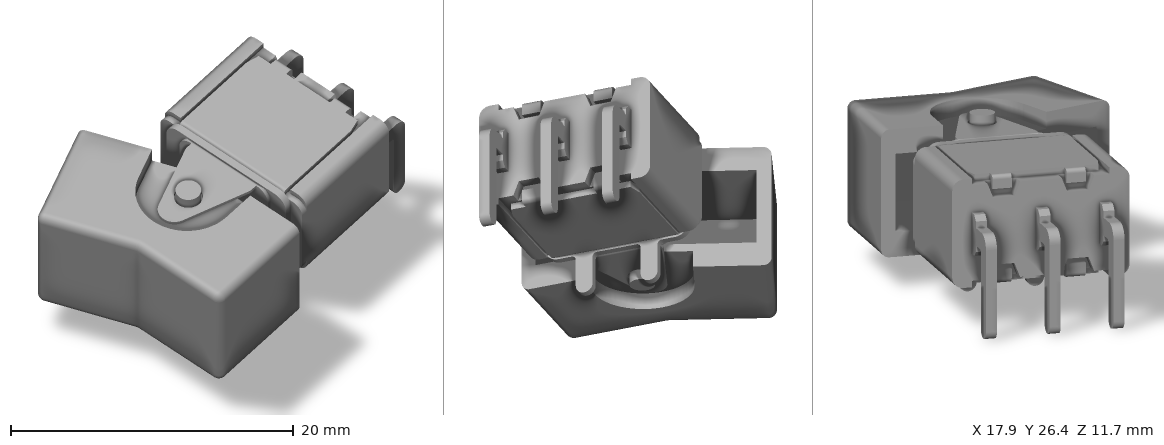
import cadquery as cq
import math


case_width = 13.15
case_half_height = 3.98
case_corner_radius = 0.82
case_back = 14.22
case_front = 5.17
recess_width = 10.18

terminal_pitch = 4.72
terminal_width = 0.82
terminal_back = 17.67
terminal_leg_width = 1.25
terminal_arm_height = 1.3
terminal_outer_bend = 1.0
terminal_inner_bend = 0.18
terminal_shoulder_height = 3.03
terminal_shoulder_length = 1.03
terminal_shoulder_chamfer = 0.4

cover_thickness = 0.47
cover_width = 9.7
cover_back = 13.1
cover_back_width = 9.18
cover_taper_length = 1.03
cover_bend_radius = 0.4
cover_front = case_front - cover_thickness
cover_wing_height = 7.05

clip_offset = 2.75
clip_width = 1.42
clip_back = 13.8
clip_bend_radius = 0.32
clip_height = 1.0
notch_front = 13.32
notch_depth = 1.05
notch_floor_width = 1.55
notch_mouth_width = 2.4

plate_thickness = 0.55
plate_width = 11.08
plate_corner_radius = 1.05
plate_front = cover_front - plate_thickness
leg_pitch = 4.99
leg_width = 1.3
leg_bottom = -7.02
leg_root_radius = 0.32

bracket_thickness = 0.26
bracket_width = 8.23
bracket_front = plate_front - bracket_thickness
ear_width = 6.01
bracket_corner_radius = (bracket_width - ear_width) / 2
ear_taper_start = 3.27
ear_taper_angle = math.radians(20)
ear_shoulder_radius = 0.8
ear_tip_radius = 1.2
pivot_hole_radius = 1.03

rocker_half_height = 4.7
rocker_angle = math.radians(20)
rocker_kink_x = 0.55
rocker_kink_y = -6.25
lobe_length = 7.68
lobe_depth = 8.7
rocker_edge_radius = 0.6
rocker_kink_radius = 0.8
rocker_wall = 1.05
rocker_cavity_height = 5.75
ear_pocket_radius = 3.67
ear_pocket_centre_y = -0.13
ear_pocket_floor = 3.45
pivot_pin_radius = 0.91


def block(width, y_front, y_back, z_bottom, z_top, x_centre=0):
    """Box centred on x_centre that spans the given Y and Z limits."""
    return cq.Workplane("XY").box(
        width, y_back - y_front, z_top - z_bottom, centered=(True, False, False)
    ).translate((x_centre, y_front, z_bottom))


def rounded_slab(width, height, corner_radius, y_front, y_back):
    """Plate in the XZ plane, centred on the Y axis, with rounded corners."""
    slab = block(width, y_front, y_back, -height / 2, height / 2)
    return slab.edges("|Y").fillet(corner_radius)


def with_mirror(shape):
    """The shape joined to its mirror image below the plane Z = 0."""
    return shape.union(shape.mirror("XY"))



def make_clip_notch(x_centre):
    """Notch with sloping sides, open at the back of the case, below the cover recess."""
    mouth_z = case_half_height - cover_thickness
    return (
        cq.Workplane("XZ", origin=(x_centre, case_back, 0))
        .moveTo(-notch_mouth_width / 2, mouth_z)
        .lineTo(notch_mouth_width / 2, mouth_z)
        .lineTo(notch_floor_width / 2, mouth_z - notch_depth)
        .lineTo(-notch_floor_width / 2, mouth_z - notch_depth)
        .close()
        .extrude(case_back - notch_front)
    )


def make_terminal(x_centre):
    """Right-angle terminal: chamfered shoulder, arm to the back and leg pointing down."""
    leg_front = terminal_back - terminal_leg_width
    arm_half = terminal_arm_height / 2
    arm = block(terminal_width, case_back, terminal_back, -arm_half, arm_half, x_centre)
    leg = block(terminal_width, leg_front, terminal_back, leg_bottom, arm_half, x_centre)
    leg_end_radius = 0.499 * terminal_leg_width
    bent_strip = (
        arm.union(leg)
        .edges("|X and >Y and >Z").fillet(terminal_outer_bend)
        .edges(cq.selectors.NearestToPointSelector((x_centre, leg_front, -arm_half)))
        .fillet(terminal_inner_bend)
        .edges("|X and <Z").fillet(leg_end_radius)
    )
    shoulder = block(
        terminal_width,
        case_back,
        case_back + terminal_shoulder_length,
        -terminal_shoulder_height / 2,
        terminal_shoulder_height / 2,
        x_centre,
    ).edges("|X and >Y").chamfer(terminal_shoulder_chamfer)
    return bent_strip.union(shoulder)


def make_case():
    case = rounded_slab(
        case_width, 2 * case_half_height, case_corner_radius, case_front, case_back
    )
    recess_floor = case_half_height - cover_thickness
    recess = block(recess_width, case_front, case_back, recess_floor, case_half_height)
    case = case.cut(with_mirror(recess))
    for side in (-1, 1):
        case = case.cut(with_mirror(make_clip_notch(side * clip_offset)))
    for place in (-1, 0, 1):
        case = case.union(make_terminal(place * terminal_pitch))
    return case



def make_cover_clip(x_centre):
    """Tab that runs to the back and bends down into its notch."""
    sheet_bottom = case_half_height - cover_thickness
    clip_end = case_half_height - clip_height
    return (
        block(clip_width, cover_back, clip_back, sheet_bottom, case_half_height, x_centre)
        .union(block(
            clip_width, clip_back - cover_thickness, clip_back, clip_end, case_half_height, x_centre
        ))
        .edges("|X and >Y and >Z").fillet(clip_bend_radius)
    )


def make_cover_sheet():
    """Top sheet of the cover, narrowed at its back end."""
    taper_start = cover_back - cover_taper_length
    return (
        cq.Workplane("XY", origin=(0, 0, case_half_height - cover_thickness))
        .moveTo(-cover_width / 2, cover_front)
        .lineTo(cover_width / 2, cover_front)
        .lineTo(cover_width / 2, taper_start)
        .lineTo(cover_back_width / 2, cover_back)
        .lineTo(-cover_back_width / 2, cover_back)
        .lineTo(-cover_width / 2, taper_start)
        .close()
        .extrude(cover_thickness)
    )


def make_cover():
    front_strip = block(
        cover_width, cover_front, case_front, -case_half_height, case_half_height
    )
    cover = (
        with_mirror(make_cover_sheet())
        .union(front_strip)
        .edges("|X and <Y").fillet(cover_bend_radius)
    )
    wings = rounded_slab(
        case_width, cover_wing_height, case_corner_radius, cover_front, case_front
    )
    cover = cover.union(wings)
    for side in (-1, 1):
        cover = cover.union(with_mirror(make_cover_clip(side * clip_offset)))
    return cover



def make_leg_outline(x_centre):
    """Leg with a round end and concave fillets where it leaves the plate."""
    half = leg_width / 2
    root_z = -case_half_height
    end_centre_z = leg_bottom + half
    bulge = leg_root_radius * (1 - math.sqrt(0.5))
    return (
        cq.Workplane("XZ", origin=(x_centre, cover_front, 0))
        .moveTo(-half - leg_root_radius, root_z)
        .threePointArc((-half - bulge, root_z - bulge), (-half, root_z - leg_root_radius))
        .lineTo(-half, end_centre_z)
        .threePointArc((0, leg_bottom), (half, end_centre_z))
        .lineTo(half, root_z - leg_root_radius)
        .threePointArc((half + bulge, root_z - bulge), (half + leg_root_radius, root_z))
        .close()
    )


def make_mounting_plate():
    plate = rounded_slab(
        plate_width, 2 * case_half_height, plate_corner_radius, plate_front, cover_front
    )
    for side in (-1, 1):
        plate = plate.union(make_leg_outline(side * leg_pitch / 2).extrude(plate_thickness))
    return plate



def make_ear():
    """Upper ear: straight root, sides tapering to a round tip, hole on the pivot axis."""
    half = ear_width / 2
    apex_y = ear_taper_start - half / math.tan(ear_taper_angle)
    return (
        cq.Workplane("XY", origin=(0, 0, case_half_height - bracket_thickness))
        .moveTo(-half, plate_front)
        .lineTo(-half, ear_taper_start)
        .lineTo(0, apex_y)
        .lineTo(half, ear_taper_start)
        .lineTo(half, plate_front)
        .close()
        .extrude(bracket_thickness)
        .edges("|Z and <Y").fillet(ear_tip_radius)
        .edges(cq.selectors.BoxSelector(
            (-half - 0.26, ear_taper_start - 0.26, 0),
            (half + 0.26, ear_taper_start + 0.26, case_half_height),
        ))
        .edges("|Z").fillet(ear_shoulder_radius)
        .cut(cq.Workplane("XY").circle(pivot_hole_radius).extrude(case_half_height))
    )


def make_bracket():
    plate = rounded_slab(
        bracket_width, 2 * case_half_height, bracket_corner_radius, bracket_front, plate_front
    )
    ears = with_mirror(make_ear())
    return plate.union(ears).cut(with_mirror(make_bend_relief()))


def make_bend_relief():
    """Corner left over outside the bend between the plate and an ear."""
    r = bracket_thickness
    corner = block(bracket_width, bracket_front, plate_front, case_half_height - r, case_half_height)
    bend = (
        cq.Workplane("YZ", origin=(-bracket_width / 2, bracket_front, case_half_height - r))
        .circle(r)
        .extrude(bracket_width)
    )
    return corner.cut(bend)



def make_rocker_prism(end_inset, floor_inset, depth, height):
    """Two-lobe prism; insets move its ends and its kinked floor inward."""
    half_tangent = math.tan(rocker_angle / 2)
    kink = cq.Vector(rocker_kink_x - floor_inset * half_tangent, rocker_kink_y + floor_inset)
    length = lobe_length - end_inset + floor_inset * half_tangent
    right_along = cq.Vector(length, 0)
    right_back = cq.Vector(0, depth)
    left_along = cq.Vector(-math.cos(rocker_angle), -math.sin(rocker_angle)) * length
    left_back = cq.Vector(-math.sin(rocker_angle), math.cos(rocker_angle)) * depth
    ridge = kink + cq.Vector(-depth * half_tangent, depth)
    corners = [
        kink,
        kink + right_along,
        kink + right_along + right_back,
        ridge,
        kink + left_along + left_back,
        kink + left_along,
    ]
    outline = [(corner.x, corner.y) for corner in corners]
    return cq.Workplane("XY").polyline(outline).close().extrude(height / 2, both=True)


def make_ear_pocket():
    """Pocket in the top face that leaves an ear room to swing, open at the back."""
    r = ear_pocket_radius
    reach = lobe_depth
    left = (-r * math.cos(rocker_angle), -r * math.sin(rocker_angle))
    left_end = (
        left[0] - reach * math.sin(rocker_angle),
        left[1] + reach * math.cos(rocker_angle),
    )
    return (
        cq.Workplane("XY", origin=(0, ear_pocket_centre_y, ear_pocket_floor))
        .moveTo(r, reach)
        .lineTo(r, 0)
        .threePointArc((0, -r), left)
        .lineTo(*left_end)
        .close()
        .extrude(rocker_half_height - ear_pocket_floor)
    )


def make_pivot_pin():
    return (
        cq.Workplane("XY", origin=(0, 0, ear_pocket_floor))
        .circle(pivot_pin_radius)
        .extrude(rocker_half_height - ear_pocket_floor)
    )


def make_rocker():
    height = 2 * rocker_half_height
    margin = 2 * rocker_edge_radius
    deep_block = make_rocker_prism(0, 0, lobe_depth + margin, height)
    kink_edge = cq.selectors.NearestToPointSelector((rocker_kink_x, rocker_kink_y, 0))
    rocker = deep_block.edges(kink_edge).fillet(rocker_kink_radius)
    rocker = rocker.edges("|Z and (>X or <Y)").fillet(rocker_edge_radius)
    rocker = rocker.faces("<Z or >Z").edges().fillet(rocker_edge_radius)
    rocker = rocker.intersect(
        make_rocker_prism(-margin, -margin, lobe_depth + margin, height)
    )
    cavity = make_rocker_prism(
        rocker_wall, rocker_wall, lobe_depth - rocker_wall, rocker_cavity_height
    )
    return (
        rocker.cut(cavity)
        .cut(with_mirror(make_ear_pocket()))
        .union(with_mirror(make_pivot_pin()))
    )


case = make_case()
cover = make_cover()
mounting_plate = make_mounting_plate()
bracket = make_bracket()
rocker = make_rocker()

result = cq.Compound.makeCompound(
    [case.val(), cover.val(), mounting_plate.val(), bracket.val(), rocker.val()]
)